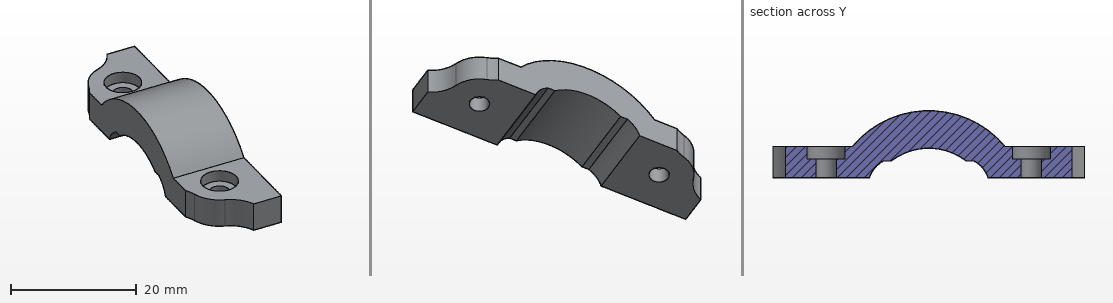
import cadquery as cq
import math

length = 49.6
depth = 12.75
flange_thickness = 5.0

arch_height = 10.7
arch_radius = 15.75
axis_z = arch_height - arch_radius
bore_radius = 9.75

ledge_z = 2.7
ledge_half_width = 7.2
mouth_half_width = 9.4
mouth_side_radius = 4.45

hole_x = 16.3
hole_y = 6.1
hole_diameter = 3.2
counterbore_diameter = 6.0
counterbore_depth = 2.0
lobe_radius = 5.55
lobe_side_y = 4.3
lobe_front_x = 17.9
side_face_start_y = 7.75
front_face_end_x = 16.2


def disc(radius):
    """Full-depth cylinder about the clamp axis."""
    return cq.Workplane("XZ", origin=(0, 0, axis_z)).circle(radius).extrude(-depth)


def half_footprint():
    """Right half of the plan outline: a lobe blended by hollows to the side and front."""
    half_length = length / 2
    lobe_front_angle = math.acos((lobe_front_x - hole_x) / lobe_radius)
    lobe_side_angle = math.asin((hole_y - lobe_side_y) / lobe_radius)
    middle_angle = (lobe_front_angle + lobe_side_angle) / 2

    def lobe_point(angle):
        return hole_x + lobe_radius * math.cos(angle), hole_y - lobe_radius * math.sin(angle)

    lobe_end_x, lobe_end_y = lobe_point(lobe_front_angle)
    run = lobe_end_x - front_face_end_x
    chord_angle = math.atan2(lobe_end_y, run)
    tangent_angle = math.pi / 2 - lobe_front_angle
    sagitta = math.hypot(run, lobe_end_y) / 2 * math.tan((chord_angle - tangent_angle) / 2)
    front_hollow_middle = (
        front_face_end_x + run / 2 - sagitta * math.sin(chord_angle),
        lobe_end_y / 2 + sagitta * math.cos(chord_angle),
    )

    return (
        cq.Workplane("XY")
        .moveTo(*lobe_point(lobe_front_angle))
        .threePointArc(lobe_point(middle_angle), lobe_point(lobe_side_angle))
        .tangentArcPoint((half_length, side_face_start_y), relative=False)
        .lineTo(half_length, depth)
        .lineTo(0, depth)
        .lineTo(0, 0)
        .lineTo(front_face_end_x, 0)
        .threePointArc(front_hollow_middle, lobe_point(lobe_front_angle))
        .close()
    )


def clamp_opening():
    """Bore through the arch, with a wider mouth whose sides are rounded outwards."""
    mouth = (
        cq.Workplane("XZ")
        .moveTo(-mouth_half_width, 0)
        .radiusArc((-ledge_half_width, ledge_z), mouth_side_radius)
        .lineTo(ledge_half_width, ledge_z)
        .radiusArc((mouth_half_width, 0), mouth_side_radius)
        .close()
        .extrude(-depth)
    )
    return disc(bore_radius).union(mouth)


def flanged_arch():
    """Flange plate with the arch rising from its middle."""
    right_half = half_footprint().extrude(flange_thickness)
    plate = right_half.union(right_half.mirror("YZ"))
    above_base = cq.Workplane("XY").box(length, depth, arch_height, centered=(True, False, False))
    return plate.union(disc(arch_radius).intersect(above_base))


def drill_screw_holes(body):
    """Counterbored screw hole down through each flange."""
    return (
        body.copyWorkplane(cq.Workplane("XY", origin=(0, 0, flange_thickness)))
        .pushPoints([(-hole_x, hole_y), (hole_x, hole_y)])
        .cboreHole(hole_diameter, counterbore_diameter, counterbore_depth)
    )


result = drill_screw_holes(flanged_arch().cut(clamp_opening()))